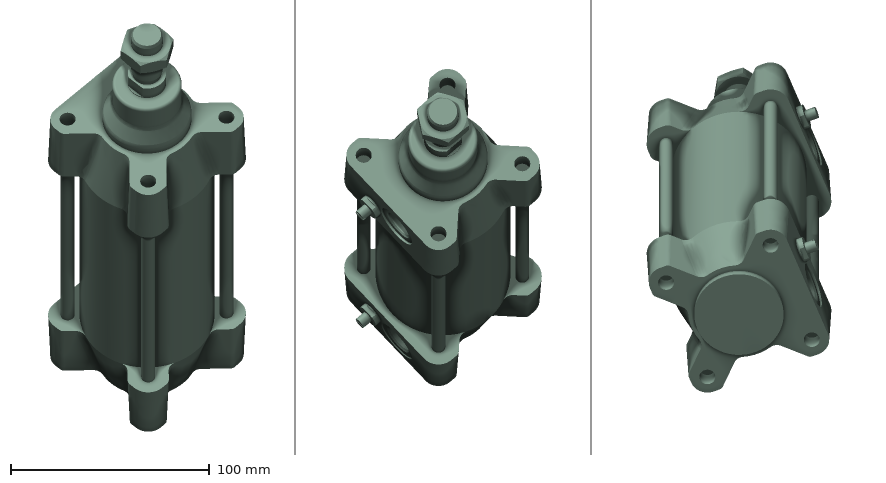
import cadquery as cq
import math

total_length = 269.0
total_width = 84.5
cap_width = 76.0

cap_height = 34.0
bolt_offset = 28.2
cap_draft = 1.0
toe_flat = 3.2
toe_radius_drop = 6.0
web_radius_outer = 25.5
web_fillet = 5.0
bolt_hole_diameter = 8.0
bolt_hole_depth = 10.8

tube_diameter = 68.0
tie_rod_diameter = 7.0
spigot_height = 4.0
spigot_diameter = 45.0
caps_length = 195.8

port_y = -7.0
port_height = 18.5
port_diameter = 14.5
port_mouth_diameter = 16.5
port_depth = 10.8
port_seat_diameter = 23.0
port_seat_x = -36.5
screw_y = 11.0
screw_height = 13.5
screw_stem_diameter = 6.0
screw_collar_diameter = 12.0
screw_collar_x = -41.0
screw_flat_width = 10.2
screw_flat_length = 2.5
screw_slot_width = 0.8
screw_slot_depth = 1.3

neck_diameter = 35.0
neck_top_fillet = 1.5
neck_height = 29.3
neck_flare_top = 14.0
neck_flare_bottom = 5.0
neck_flare_fillet = 4.5

rod_diameter = 19.5
rod_flat_width = 16.7
rod_flat_bottom = 229.7
rod_shoulder = 237.0
undercut_diameter = 14.5
thread_bottom = 240.5
thread_diameter = 16.0
thread_chamfer_radial = 0.8
thread_chamfer_length = 1.5

nut_width = 24.0
nut_height = 8.0
nut_bottom = 253.5
nut_chamfer_angle = 30.0

corner_radius_inner = cap_width / 2 - bolt_offset
corner_radius_outer = corner_radius_inner - cap_draft
screw_tip_x = cap_width / 2 - total_width
rear_cap_inner = spigot_height + cap_height
front_face = spigot_height + caps_length
front_cap_inner = front_face - cap_height
neck_top = front_face + neck_height
port_mouth_chamfer = (port_mouth_diameter - port_diameter) / 2
mid_height = (rear_cap_inner + front_cap_inner) / 2
bolt_points = [(sx * bolt_offset, sy * bolt_offset) for sx in (-1, 1) for sy in (-1, 1)]


def cap_outline(corner_radius, z):
    """Outline with four arms and notches on -Y, +X and +Y; the -X side is straight.

    Beside each notch an arm ends in a corner arc, a short flat, a small toe arc
    and then the 45 degree wall that runs in towards the middle of the notch.
    """
    edge = bolt_offset + corner_radius
    toe_radius = corner_radius - toe_radius_drop
    toe_center = bolt_offset - toe_flat
    diagonal = math.sqrt(0.5)
    wall_x = toe_center - toe_radius * diagonal
    wall_y = edge - toe_radius * (1 - diagonal)
    half_toe_turn = math.radians(45) / 2
    toe_mid_x = toe_center - toe_radius * math.sin(half_toe_turn)
    toe_mid_y = edge - toe_radius * (1 - math.cos(half_toe_turn))
    notch_depth = wall_y - wall_x
    corner_mid = bolt_offset + corner_radius * diagonal

    outline = (
        cq.Workplane("XY", origin=(0, 0, z))
        .moveTo(-edge, -bolt_offset)
        .threePointArc((-corner_mid, -corner_mid), (-bolt_offset, -edge))
    )
    for quarter_turns in range(3):
        angle = math.radians(90 * quarter_turns)

        def turned(x, y):
            return (
                x * math.cos(angle) - y * math.sin(angle),
                x * math.sin(angle) + y * math.cos(angle),
            )

        outline = (
            outline.lineTo(*turned(-toe_center, -edge))
            .threePointArc(turned(-toe_mid_x, -toe_mid_y), turned(-wall_x, -wall_y))
            .lineTo(*turned(0, -notch_depth))
            .lineTo(*turned(wall_x, -wall_y))
            .threePointArc(turned(toe_mid_x, -toe_mid_y), turned(toe_center, -edge))
            .lineTo(*turned(bolt_offset, -edge))
            .threePointArc(turned(corner_mid, -corner_mid), turned(edge, -bolt_offset))
        )
    return outline.close().val()


def x_cylinder(diameter, x_start, x_end, y, z):
    """Cylinder along X between two X positions."""
    return (
        cq.Workplane("YZ", origin=(x_start, y, z))
        .circle(diameter / 2)
        .extrude(x_end - x_start)
    )


def make_cap_block():
    """Drafted arms joined by a conical web, tube side at z = 0."""
    arms = cq.Workplane(
        cq.Solid.makeLoft(
            [cap_outline(corner_radius_inner, 0), cap_outline(corner_radius_outer, cap_height)],
            True,
        )
    )
    web = cq.Workplane(cq.Solid.makeCone(tube_diameter / 2, web_radius_outer, cap_height))
    block = arms.union(web)

    def is_web_corner(edge):
        middle = edge.positionAt(0.5)
        rises = abs(edge.startPoint().z - edge.endPoint().z) > cap_height / 2
        return rises and math.hypot(middle.x, middle.y) < tube_diameter / 2

    web_corners = [edge for edge in block.edges().vals() if is_web_corner(edge)]
    return block.newObject(web_corners).fillet(web_fillet)


def cut_port(cap):
    """Blind port with a chamfered mouth in a shallow round seat."""
    seat = x_cylinder(port_seat_diameter, screw_tip_x, port_seat_x, port_y, port_height)
    bore = x_cylinder(port_diameter, port_seat_x, port_seat_x + port_depth, port_y, port_height)
    mouth = cq.Workplane(
        cq.Solid.makeCone(
            port_mouth_diameter / 2,
            port_diameter / 2,
            port_mouth_chamfer,
            cq.Vector(port_seat_x, port_y, port_height),
            cq.Vector(1, 0, 0),
        )
    )
    return cap.cut(seat).cut(bore).cut(mouth)


def add_cushion_screw(cap):
    """Slotted stem on a collar that has two flats facing up and down."""
    collar = x_cylinder(screw_collar_diameter, screw_collar_x, -bolt_offset, screw_y, screw_height)
    stem = x_cylinder(screw_stem_diameter, screw_tip_x, screw_collar_x, screw_y, screw_height)
    slot = cq.Workplane("XY").box(
        screw_slot_depth, screw_stem_diameter, screw_slot_width, centered=(False, True, True)
    ).translate((screw_tip_x, screw_y, screw_height))
    for side in (-1, 1):
        flat = cq.Workplane("XY").box(
            screw_flat_length, screw_collar_diameter, screw_collar_diameter, centered=(False, True, True)
        )
        flat_z = screw_height + side * (screw_flat_width + screw_collar_diameter) / 2
        collar = collar.cut(flat.translate((screw_collar_x, screw_y, flat_z)))
    return cap.union(collar).union(stem.cut(slot))


def make_cap():
    cap = add_cushion_screw(cut_port(make_cap_block()))
    bolt_holes = (
        cq.Workplane("XY", origin=(0, 0, cap_height))
        .pushPoints(bolt_points)
        .circle(bolt_hole_diameter / 2)
        .extrude(-bolt_hole_depth)
    )
    return cap.cut(bolt_holes)


def make_neck():
    """Flared neck with a rounded shoulder, revolved about the cylinder axis."""
    neck_radius = neck_diameter / 2
    spigot_radius = spigot_diameter / 2
    neck = (
        cq.Workplane("XZ")
        .moveTo(0, front_face)
        .lineTo(spigot_radius, front_face)
        .lineTo(spigot_radius, front_face + neck_flare_bottom)
        .lineTo(neck_radius, front_face + neck_flare_top)
        .lineTo(neck_radius, neck_top)
        .lineTo(0, neck_top)
        .close()
        .revolve(360, (0, 0, 0), (0, 1, 0))
    )
    neck = neck.faces(">Z").edges().fillet(neck_top_fillet)
    flare_edges = cq.selectors.BoxSelector(
        (-spigot_diameter, -spigot_diameter, front_face + neck_flare_bottom / 2),
        (spigot_diameter, spigot_diameter, front_face + neck_flare_top + neck_flare_bottom / 2),
    )
    return neck.edges("%CIRCLE").edges(flare_edges).fillet(neck_flare_fillet)


def make_housing():
    """Tube, tie rods, both caps and the neck as one solid, bored for the piston rod."""
    front_cap = make_cap().translate((0, 0, front_cap_inner))
    rear_cap = front_cap.mirror("XY", (0, 0, mid_height))
    tube_length = front_cap_inner - rear_cap_inner
    between_caps = cq.Workplane("XY", origin=(0, 0, rear_cap_inner))
    tube = between_caps.circle(tube_diameter / 2).extrude(tube_length)
    tie_rods = between_caps.pushPoints(bolt_points).circle(tie_rod_diameter / 2).extrude(tube_length)
    rear_spigot = cq.Workplane("XY").circle(spigot_diameter / 2).extrude(spigot_height)
    rod_bore = (
        cq.Workplane("XY", origin=(0, 0, front_face))
        .circle(rod_diameter / 2)
        .extrude(neck_height)
    )
    return (
        tube.union(tie_rods)
        .union(front_cap)
        .union(rear_cap)
        .union(rear_spigot)
        .union(make_neck())
        .cut(rod_bore)
    )


def make_piston_rod():
    """Stepped rod with two wrench flats, standing in the bore of the neck."""
    thread_radius = thread_diameter / 2
    rod = (
        cq.Workplane("XZ")
        .moveTo(0, front_face)
        .lineTo(rod_diameter / 2, front_face)
        .lineTo(rod_diameter / 2, rod_shoulder)
        .lineTo(undercut_diameter / 2, rod_shoulder)
        .lineTo(undercut_diameter / 2, thread_bottom)
        .lineTo(thread_radius, thread_bottom)
        .lineTo(thread_radius, total_length - thread_chamfer_length)
        .lineTo(thread_radius - thread_chamfer_radial, total_length)
        .lineTo(0, total_length)
        .close()
        .revolve(360, (0, 0, 0), (0, 1, 0))
    )
    for side in (-1, 1):
        flat = (
            cq.Workplane("XY", origin=(0, side * (rod_flat_width + rod_diameter) / 2, rod_flat_bottom))
            .rect(rod_diameter, rod_diameter)
            .extrude(rod_shoulder - rod_flat_bottom)
        )
        rod = rod.cut(flat)
    return rod


def make_nut():
    """Hexagon nut with corners on the X axis and conical chamfers on both ends."""
    corner_radius = nut_width / math.sqrt(3)
    chamfer_radius = nut_width / 2
    chamfer_height = (corner_radius - chamfer_radius) * math.tan(math.radians(nut_chamfer_angle))
    hexagon = cq.Workplane("XY").polygon(6, 2 * corner_radius).extrude(nut_height)
    chamfer_envelope = (
        cq.Workplane("XZ")
        .moveTo(0, 0)
        .lineTo(chamfer_radius, 0)
        .lineTo(corner_radius, chamfer_height)
        .lineTo(corner_radius, nut_height - chamfer_height)
        .lineTo(chamfer_radius, nut_height)
        .lineTo(0, nut_height)
        .close()
        .revolve(360, (0, 0, 0), (0, 1, 0))
    )
    thread_hole = cq.Workplane("XY").circle(thread_diameter / 2).extrude(nut_height)
    return hexagon.intersect(chamfer_envelope).cut(thread_hole).translate((0, 0, nut_bottom))


housing = make_housing()
piston_rod = make_piston_rod()
nut = make_nut()

result = cq.Compound.makeCompound([housing.val(), piston_rod.val(), nut.val()])